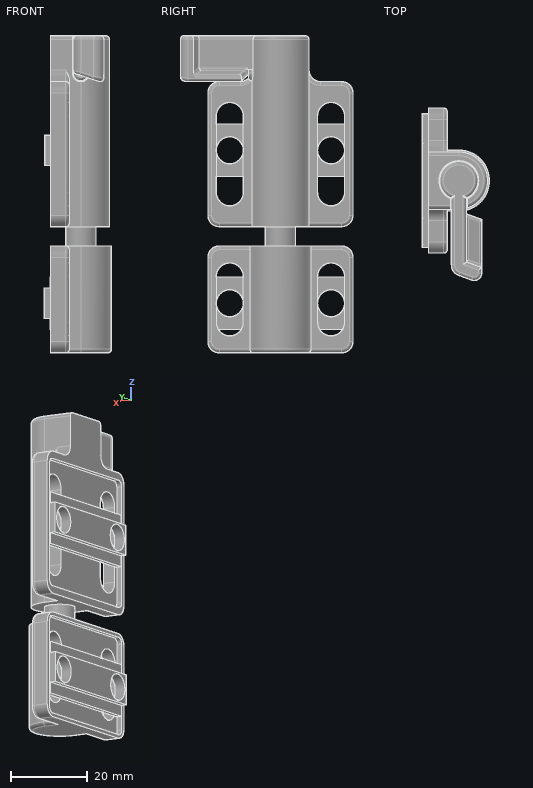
import cadquery as cq
import math

MOUNT_X = -8.0
PLATE_THICKNESS = 5.0
PLATE_BACK_X = MOUNT_X + PLATE_THICKNESS
PLATE_WIDTH = 38.0
PLATE_CORNER_R = 3.0
EDGE_R = 1.0

LOWER_HEIGHT = 28.0
LOWER_BARREL_R = 8.0
LOWER_BORE_R = 5.0
LOWER_SLOT_LENGTH = 19.0
LOWER_POCKET_HEIGHT = 26.0
LOWER_POCKET_DEPTH = 1.36

LEAF_GAP = 5.0
UPPER_BOTTOM_Z = LOWER_HEIGHT + LEAF_GAP
UPPER_PLATE_HEIGHT = 38.0
UPPER_PLATE_TOP_Z = UPPER_BOTTOM_Z + UPPER_PLATE_HEIGHT
NECK_HEIGHT = 12.0
TOP_Z = UPPER_PLATE_TOP_Z + NECK_HEIGHT
UPPER_BARREL_R = 7.5
NECK_ROOT_R = 3.0
UPPER_SLOT_LENGTH = 27.0
UPPER_POCKET_HEIGHT = 34.0
UPPER_POCKET_DEPTH = 1.5

HOLE_D = 7.0
HOLE_Y = 13.25
POCKET_WIDTH = 35.6
POCKET_CORNER_R = 1.5

CLIP_WIDTH = 35.0
FLANGE_HEIGHT = 13.8
FLANGE_THICKNESS = 1.5
KEY_HEIGHT = 8.0
KEY_THICKNESS = 1.5
CLIP_OFFSET = 1.0
LOWER_CLIP_Z = LOWER_HEIGHT / 2 - CLIP_OFFSET
UPPER_CLIP_Z = UPPER_BOTTOM_Z + UPPER_PLATE_HEIGHT / 2 + CLIP_OFFSET

PIN_R = 4.0
PIN_BOTTOM_Z = 8.0
HEAD_R = 5.0
HEAD_BOTTOM_Z = UPPER_PLATE_TOP_Z
CLEARANCE = 0.2
ARM_WIDTH = 4.0
ARM_HALF = ARM_WIDTH / 2
ARM_ROUND_Z = HEAD_BOTTOM_Z + ARM_HALF + CLEARANCE
ROOT_LENGTH = 8.4
ARM_BOTTOM_Z = 73.2
GRIP_X = 6.0
BEND_ANGLE = 20.0
BEND_SLOPE = math.tan(math.radians(BEND_ANGLE))
BEND_OUTER_R = 3.0
TIP_R = 2.0
TIP_CENTER_Y = -24.16
GRIP_START_Y = -8.7
UNDERSIDE_ANGLE = math.radians(18.0)
UNDERSIDE_SLOPE = math.tan(UNDERSIDE_ANGLE)
WEB_THICKNESS = 2.0
BEND_DEPTH = ARM_WIDTH / math.cos(math.radians(BEND_ANGLE))
HANDLE_EDGE_R = 0.9
WEB_EDGE_R = 0.8


def box(x, y, z):
    """Box given by its (low, high) limits on each axis."""
    size = (x[1] - x[0], y[1] - y[0], z[1] - z[0])
    return cq.Workplane("XY").box(*size, centered=False).translate((x[0], y[0], z[0]))


def cylinder(radius, bottom, top):
    return cq.Workplane("XY").workplane(offset=bottom).circle(radius).extrude(top - bottom)


def round_bottomed_bar(half_width, length):
    """Upright bar with a half-round bottom, running from the pin axis toward -Y."""
    return (
        cq.Workplane("XZ")
        .moveTo(-half_width, TOP_Z)
        .lineTo(-half_width, ARM_ROUND_Z)
        .threePointArc((0, ARM_ROUND_Z - half_width), (half_width, ARM_ROUND_Z))
        .lineTo(half_width, TOP_Z)
        .close()
        .extrude(length)
    )


def barrel(radius, bottom, top):
    """Round knuckle on the pin axis, carried straight back to the mounting face."""
    block = box((MOUNT_X, 0), (-radius, radius), (bottom, top))
    return block.union(cylinder(radius, bottom, top))


def plate(bottom, height):
    """Rounded mounting plate."""
    return (
        box((MOUNT_X, PLATE_BACK_X), (-PLATE_WIDTH / 2, PLATE_WIDTH / 2), (bottom, bottom + height))
        .edges("|X").fillet(PLATE_CORNER_R)
    )


def mounting_cuts(middle_z, pocket_height, pocket_depth, slot_length):
    """Clip pocket in the mounting face and the two screw slots through the plate."""
    pocket = (
        cq.Workplane("YZ", origin=(MOUNT_X, 0, middle_z))
        .rect(POCKET_WIDTH, pocket_height).extrude(pocket_depth)
        .edges("|X").fillet(POCKET_CORNER_R)
    )
    slots = (
        cq.Workplane("YZ", origin=(MOUNT_X, 0, middle_z))
        .pushPoints([(-HOLE_Y, 0), (HOLE_Y, 0)])
        .slot2D(slot_length, HOLE_D, 90).extrude(PLATE_THICKNESS)
    )
    return pocket.union(slots)


def make_lower_leaf():
    knuckle = barrel(LOWER_BARREL_R, 0, LOWER_HEIGHT).faces("<Z").edges("not <X").fillet(EDGE_R)
    leaf = plate(0, LOWER_HEIGHT).faces(">X").edges().fillet(EDGE_R).union(knuckle)
    middle_z = LOWER_HEIGHT / 2
    leaf = leaf.cut(mounting_cuts(middle_z, LOWER_POCKET_HEIGHT, LOWER_POCKET_DEPTH, LOWER_SLOT_LENGTH))
    return leaf.cut(cylinder(LOWER_BORE_R, PIN_BOTTOM_Z, LOWER_HEIGHT))


def make_upper_leaf():
    neck_y = (-UPPER_BARREL_R, UPPER_BARREL_R)
    neck = box((MOUNT_X, PLATE_BACK_X), neck_y, (UPPER_BOTTOM_Z, TOP_Z))
    blank = plate(UPPER_BOTTOM_Z, UPPER_PLATE_HEIGHT).union(neck)
    root_edges = cq.selectors.BoxSelector(
        (MOUNT_X, -UPPER_BARREL_R - EDGE_R, UPPER_PLATE_TOP_Z - EDGE_R),
        (PLATE_BACK_X, UPPER_BARREL_R + EDGE_R, UPPER_PLATE_TOP_Z + EDGE_R),
    )
    blank = blank.edges("|X").edges(root_edges).fillet(NECK_ROOT_R)
    blank = blank.faces(">X").edges("not >Z").fillet(EDGE_R)

    knuckle = barrel(UPPER_BARREL_R, UPPER_BOTTOM_Z, TOP_Z).faces(">Z").edges("not <X").fillet(EDGE_R)
    above_plate = box((MOUNT_X, PLATE_BACK_X), neck_y, (TOP_Z - EDGE_R, TOP_Z))
    leaf = blank.cut(above_plate).union(knuckle)

    middle_z = UPPER_BOTTOM_Z + UPPER_PLATE_HEIGHT / 2
    leaf = leaf.cut(mounting_cuts(middle_z, UPPER_POCKET_HEIGHT, UPPER_POCKET_DEPTH, UPPER_SLOT_LENGTH))
    leaf = leaf.cut(cylinder(PIN_R, UPPER_BOTTOM_Z, TOP_Z))
    leaf = leaf.cut(cylinder(HEAD_R + CLEARANCE, HEAD_BOTTOM_Z, TOP_Z))
    return leaf.cut(round_bottomed_bar(ARM_HALF + CLEARANCE, UPPER_BARREL_R))


def make_clip(back_x, middle_z):
    """Clip whose flange rests on the pocket floor at back_x."""
    face_x = back_x - FLANGE_THICKNESS
    half_width = CLIP_WIDTH / 2
    layers = [
        ((face_x, back_x), FLANGE_HEIGHT),
        ((face_x - KEY_THICKNESS, face_x), KEY_HEIGHT),
    ]
    clip = cq.Workplane("XY")
    for x_limits, height in layers:
        z_limits = (middle_z - height / 2, middle_z + height / 2)
        clip = clip.union(box(x_limits, (-half_width, half_width), z_limits))
    holes = (
        cq.Workplane("YZ", origin=(back_x, 0, middle_z))
        .pushPoints([(-HOLE_Y, 0), (HOLE_Y, 0)])
        .circle(HOLE_D / 2).extrude(-FLANGE_THICKNESS - KEY_THICKNESS)
    )
    return clip.cut(holes)


def sloped_slab(low_z, high_z):
    """Slab parallel to the sloped underside; low_z and high_z are its faces along the -X face of the arm."""
    far_x = 2 * GRIP_X
    drop = (far_x + ARM_HALF) * UNDERSIDE_SLOPE
    return (
        cq.Workplane("XZ")
        .polyline([
            (-ARM_HALF, low_z),
            (far_x, low_z - drop),
            (far_x, high_z - drop),
            (-ARM_HALF, high_z),
        ])
        .close()
        .extrude(PLATE_WIDTH)
    )


def outer_bend_y(x):
    """Outer face of the bent end, tangent to the rounded tip."""
    tip_x = GRIP_X - TIP_R
    return TIP_CENTER_Y - TIP_R / math.cos(math.radians(BEND_ANGLE)) - (x - tip_x) * BEND_SLOPE


def prism(points):
    """Upright prism tall enough to take in the whole handle arm."""
    return (
        cq.Workplane("XY").workplane(offset=HEAD_BOTTOM_Z - ARM_WIDTH)
        .polyline(points).close().extrude(TOP_Z - HEAD_BOTTOM_Z + ARM_WIDTH)
    )


def rounded_outline(points):
    """Prism with the outer bend and the tip rounded."""
    body = prism(points)
    for corner_x, radius in [(-ARM_HALF, BEND_OUTER_R), (GRIP_X, TIP_R)]:
        corner = (corner_x, outer_bend_y(corner_x), TOP_Z)
        body = body.edges("|Z").edges(cq.NearestToPointSelector(corner)).fillet(radius)
    return body


def grip_start_y(x):
    """Near edge of the grip, parallel to the bent end."""
    return GRIP_START_Y - (x - ARM_HALF) * BEND_SLOPE


def make_grip():
    """Arm, bent end and the thin sloped web between them, up to above the handle top."""
    outer_points = [
        (-ARM_HALF, grip_start_y(-ARM_HALF)),
        (GRIP_X, grip_start_y(GRIP_X)),
        (GRIP_X, outer_bend_y(GRIP_X)),
        (-ARM_HALF, outer_bend_y(-ARM_HALF)),
    ]
    grip = rounded_outline(outer_points).intersect(sloped_slab(ARM_BOTTOM_Z, TOP_Z + PLATE_WIDTH))
    under_normal = cq.Vector(-math.sin(UNDERSIDE_ANGLE), 0, -math.cos(UNDERSIDE_ANGLE))
    lower_face = cq.DirectionSelector(under_normal)
    grip = grip.faces(lower_face).edges().fillet(HANDLE_EDGE_R)

    web_top_z = ARM_BOTTOM_Z + WEB_THICKNESS / math.cos(UNDERSIDE_ANGLE)
    beyond_x = 2 * GRIP_X
    corner = prism([
        (ARM_HALF, 0),
        (ARM_HALF, outer_bend_y(ARM_HALF) + BEND_DEPTH),
        (beyond_x, outer_bend_y(beyond_x) + BEND_DEPTH),
        (beyond_x, 0),
    ])
    grip = grip.cut(corner.cut(sloped_slab(ARM_BOTTOM_Z - ARM_WIDTH, web_top_z)))
    web_face = cq.DirectionSelector(under_normal * -1)
    return grip.faces(web_face).edges().fillet(WEB_EDGE_R)


def make_handle():
    arm_root = round_bottomed_bar(ARM_HALF, ROOT_LENGTH)
    arm_root = arm_root.faces("<Y").edges("%CIRCLE").fillet(HANDLE_EDGE_R)
    bridge_y = (GRIP_START_Y - HANDLE_EDGE_R, 0)
    bridge = box((-ARM_HALF, ARM_HALF), bridge_y, (ARM_BOTTOM_Z + HANDLE_EDGE_R, TOP_Z))
    too_high = box((-ARM_WIDTH, 2 * GRIP_X), (-PLATE_WIDTH, PLATE_WIDTH), (TOP_Z, TOP_Z + PLATE_WIDTH))
    head = cylinder(HEAD_R, HEAD_BOTTOM_Z, TOP_Z)
    handle = make_grip().cut(too_high).union(arm_root).union(bridge).union(head)
    handle = handle.faces(">Z").edges().fillet(HANDLE_EDGE_R)
    return handle.union(cylinder(PIN_R, PIN_BOTTOM_Z, HEAD_BOTTOM_Z))


lower_leaf = make_lower_leaf()
upper_leaf = make_upper_leaf()
lower_clip = make_clip(MOUNT_X + LOWER_POCKET_DEPTH, LOWER_CLIP_Z)
upper_clip = make_clip(MOUNT_X + UPPER_POCKET_DEPTH, UPPER_CLIP_Z)
handle = make_handle()

result = cq.Compound.makeCompound([
    lower_leaf.val(),
    upper_leaf.val(),
    lower_clip.val(),
    upper_clip.val(),
    handle.val(),
])